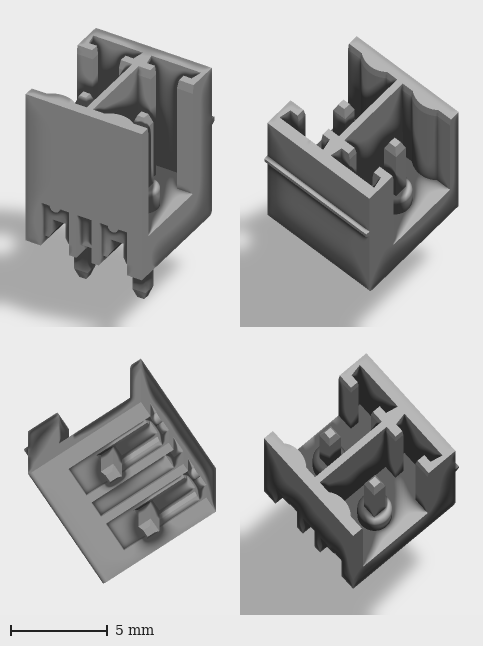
import cadquery as cq


pitch = 3.5
pole_count = 2
body_width = pole_count * pitch
body_depth = 7.0
total_height = 12.6
pin_drop = 3.4
body_height = total_height - pin_drop
back_edge_radius = 0.26
pole_centers = [(i - (pole_count - 1) / 2) * pitch for i in range(pole_count)]

floor_z = 2.4
front_wall = 0.68
hook_front = 5.1
hook_back = 5.65
slot_back = 6.34
slot_mouth = 1.58
slot_inner_width = 2.7
slot_back_width = 2.99
bump_chord = 1.74
bump_height = 0.32
lead_in = 0.08
lead_in_height = 0.5

partition_half = 0.19
partition_draft = 0.1

ridge_top = 5.98
ridge_depth = 0.24
ridge_face = 0.26
ridge_height = 0.4

pin_y = 3.0
pin_width = 0.81
pin_depth = 0.77
pin_top = 8.01
pin_tip_length = 0.55
pin_tip_width = 0.42
collar_diameter = 1.8
collar_top = 3.63
collar_round = 0.25

window_height = 2.7
window_width = 1.7
window_depth = 0.4
window_tab_radius = 0.3
recess_height = 0.39
center_window_width = 0.91
center_window_depth = 0.58
center_recess_height = 0.47
recess_end = hook_front
channel_top = 1.58
funnel_height = 0.32
funnel_flare = 0.18


def block(x_center, width, y_start, y_end, z_start, z_end):
    """Box given by its X center and width and its Y and Z limits."""
    return (
        cq.Workplane("XY")
        .box(width, y_end - y_start, z_end - z_start, centered=(True, False, False))
        .translate((x_center, y_start, z_start))
    )


def draw_bay(plane, x_center, widen):
    """Bay outline with its T-slot and front bump; widen moves the lead-in edges outward."""
    front = front_wall - widen
    hook = hook_front + widen
    half_mouth = slot_mouth / 2 + widen
    left, right = x_center - pitch / 2, x_center + pitch / 2
    return (
        plane.moveTo(left, front)
        .lineTo(x_center - bump_chord / 2, front)
        .threePointArc((x_center, front + bump_height), (x_center + bump_chord / 2, front))
        .lineTo(right, front)
        .lineTo(right, hook)
        .lineTo(x_center + half_mouth, hook)
        .lineTo(x_center + half_mouth, hook_back)
        .lineTo(x_center + slot_inner_width / 2, hook_back)
        .lineTo(x_center + slot_back_width / 2, slot_back)
        .lineTo(x_center - slot_back_width / 2, slot_back)
        .lineTo(x_center - slot_inner_width / 2, hook_back)
        .lineTo(x_center - half_mouth, hook_back)
        .lineTo(x_center - half_mouth, hook)
        .lineTo(left, hook)
        .close()
    )


def bay(x_center):
    """Space of one plug bay: a straight shaft with a flared lead-in at the top."""
    lead_in_z = body_height - lead_in_height
    shaft = draw_bay(cq.Workplane("XY", origin=(0, 0, floor_z)), x_center, 0)
    shaft = shaft.extrude(lead_in_z - floor_z)
    flare = draw_bay(cq.Workplane("XY", origin=(0, 0, lead_in_z)), x_center, 0)
    flare = draw_bay(flare.workplane(offset=lead_in_height, origin=(0, 0, lead_in_z)), x_center, lead_in)
    return shaft.union(flare.loft(ruled=True))


def partition():
    """Wall between the bays, from inside the front wall to inside the hooks."""
    front, back = front_wall - lead_in, hook_front + lead_in
    return (
        cq.Workplane("XZ", origin=(0, front, 0))
        .polyline([
            (-partition_half - partition_draft, floor_z),
            (partition_half, floor_z),
            (partition_half, body_height),
            (-partition_half, body_height),
        ])
        .close()
        .extrude(front - back)
    )


def latch_ridge():
    """Ridge across the back wall, sloped underneath."""
    return (
        cq.Workplane("YZ", origin=(-body_width / 2, 0, 0))
        .polyline([
            (body_depth, ridge_top),
            (body_depth + ridge_depth, ridge_top),
            (body_depth + ridge_depth, ridge_top - ridge_face),
            (body_depth, ridge_top - ridge_height),
        ])
        .close()
        .extrude(body_width)
    )


def pole_opening(x_center):
    """Front window, underside recess and pin channel with its funnel for one pole."""
    window = block(x_center, window_width, 0, window_depth, 0, window_height)
    tab = (
        cq.Workplane("XZ", origin=(x_center, 0, window_height))
        .circle(window_tab_radius)
        .extrude(-window_depth)
    )
    recess = block(x_center, window_width, 0, recess_end, 0, recess_height)
    channel = block(x_center, pin_width, 0, pin_y, recess_height, channel_top)
    funnel_width = pin_width + 2 * funnel_flare
    funnel_back = pin_y + pin_depth / 2 + funnel_flare
    funnel = (
        cq.Workplane("XY", origin=(x_center, funnel_back / 2, recess_height))
        .rect(funnel_width, funnel_back)
        .workplane(offset=funnel_height)
        .center(0, -funnel_flare / 2)
        .rect(pin_width, funnel_back - funnel_flare)
        .loft(ruled=True)
    )
    return window.cut(tab).union(recess).union(channel).union(funnel)


def center_opening():
    """Narrow front window and underside recess between the poles."""
    window = block(0, center_window_width, 0, center_window_depth, 0, window_height)
    return window.union(block(0, center_window_width, 0, recess_end, 0, center_recess_height))


def pin(x_center):
    """Rectangular contact pin with tapered ends."""
    tip_base = pin_top - pin_tip_length
    tail_base = pin_tip_length - pin_drop
    shank = (
        cq.Workplane("XY", origin=(x_center, pin_y, tail_base))
        .rect(pin_width, pin_depth)
        .extrude(tip_base - tail_base)
    )
    for base_z, length in ((tip_base, pin_tip_length), (tail_base, -pin_tip_length)):
        tip = (
            cq.Workplane("XY", origin=(x_center, pin_y, base_z))
            .rect(pin_width, pin_depth)
            .workplane(offset=length)
            .rect(pin_tip_width, pin_tip_width)
            .loft(ruled=True)
        )
        shank = shank.union(tip)
    return shank


def collar(x_center):
    """Rounded collar around the pin on the bay floor."""
    return (
        cq.Workplane("XY", origin=(x_center, pin_y, floor_z))
        .circle(collar_diameter / 2)
        .extrude(collar_top - floor_z)
        .faces(">Z")
        .edges()
        .fillet(collar_round)
    )


housing = block(0, body_width, 0, body_depth, 0, body_height)
housing = housing.edges("|X and >Y and <Z").fillet(back_edge_radius)
housing = housing.union(latch_ridge())
for x in pole_centers:
    housing = housing.cut(bay(x))
housing = housing.union(partition())
housing = housing.cut(center_opening())

for x in pole_centers:
    housing = housing.cut(pole_opening(x))
    housing = housing.union(collar(x))
    housing = housing.union(pin(x))

result = housing